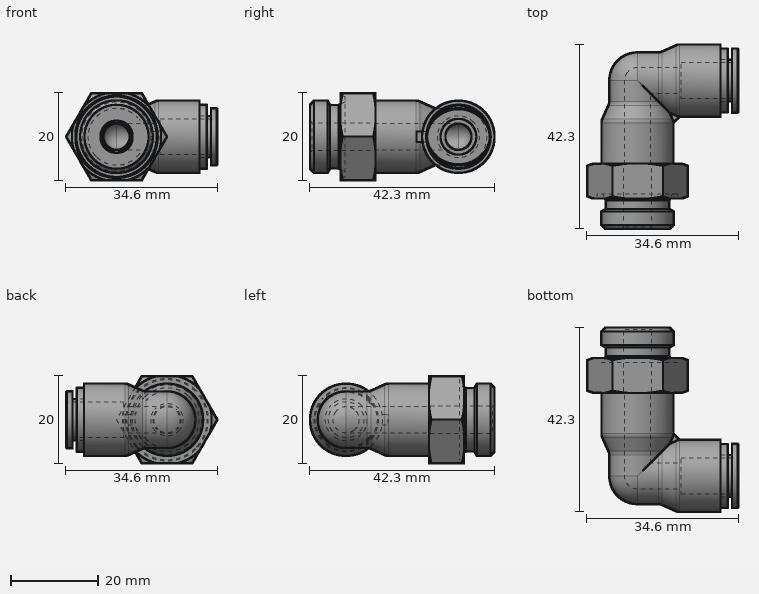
import cadquery as cq
import math


arm_diameter = 16.6
elbow_diameter = 13.0
arm_length = 19.0
taper_start = 5.25
taper_end = 9.22
taper_blend_radius = 2.0
bore_diameter = 6.0
tube_diameter = 8.2
tube_socket_depth = 9.0
web_thickness = 2.5
web_reach = 9.6

stud_length = 34.0
hex_width = 20.0
hex_height = 8.0
hex_chamfer_diameter = 20.5
hex_chamfer_height = 0.5
seal_recess_depth = 1.0
seal_recess_diameter = 18.9
seal_recess_floor_diameter = 18.4
neck_diameter = 14.6
neck_root_diameter = 15.9
neck_flare_length = 1.4
thread_diameter = 16.66
thread_length = 4.0
thread_chamfer = 1.0
thread_runout = 0.65
stud_bore_diameter = 6.4
stud_bore_chamfer = 0.5

collar_diameter = 14.7
collar_length = 1.75
collar_chamfer = 0.2

sleeve_diameter = 9.6
ring_end = 23.1
flange_thickness = 1.5
flange_width = 14.8
flange_height = 13.1
flange_chamfer = 0.25

ORIGIN = (0, 0, 0)
TUBE_AXIS = (1, 0, 0)


def onto_stud_axis(body):
    """Turn a body built along +X so that it points along -Y."""
    return body.rotate(ORIGIN, (0, 0, 1), -90)


def rod(diameter, start, end):
    """Cylinder on the tube axis between two X positions."""
    return cq.Workplane("YZ", origin=(start, 0, 0)).circle(diameter / 2).extrude(end - start)


def revolve_about_x(profile):
    return profile.close().revolve(360, ORIGIN, TUBE_AXIS)


def mitred(arm, size):
    """Return an arm along +X and its twin along -Y, both cut on the diagonal between them."""
    half_space = cq.Workplane("XY").polyline([(0, 0), (size, -size), (size, size), (0, size)]).close()
    half_space = half_space.extrude(size, both=True)
    tube_half = arm.intersect(half_space)
    stud_half = tube_half.mirror("XZ")
    return tube_half, onto_stud_axis(stud_half)


def housing_arm():
    """Solid arm along +X: elbow tube, blended taper and full-size barrel."""
    elbow_radius = elbow_diameter / 2
    arm_radius = arm_diameter / 2
    slope = math.atan2(arm_radius - elbow_radius, taper_end - taper_start)
    tangent = taper_blend_radius * math.tan(slope / 2)
    along = tangent * math.cos(slope)
    across = tangent * math.sin(slope)
    mid_along = taper_blend_radius * math.sin(slope / 2)
    mid_across = taper_blend_radius * (1 - math.cos(slope / 2))
    profile = (
        cq.Workplane("XY")
        .lineTo(0, elbow_radius)
        .lineTo(taper_start - tangent, elbow_radius)
        .threePointArc(
            (taper_start - tangent + mid_along, elbow_radius + mid_across),
            (taper_start + along, elbow_radius + across),
        )
        .lineTo(taper_end - along, arm_radius - across)
        .threePointArc(
            (taper_end + tangent - mid_along, arm_radius - mid_across),
            (taper_end + tangent, arm_radius),
        )
        .lineTo(arm_length, arm_radius)
        .lineTo(arm_length, 0)
    )
    return revolve_about_x(profile)


def corner_web():
    """Thin web that closes the inside corner between the two arms."""
    inner = elbow_diameter / 2
    arm_radius = arm_diameter / 2
    outline = [
        (inner, -inner),
        (web_reach, -inner),
        (web_reach, -arm_radius),
        (arm_radius, -web_reach),
        (inner, -web_reach),
    ]
    return cq.Workplane("XY").polyline(outline).close().extrude(web_thickness / 2, both=True)


def make_housing():
    tube_half, stud_half = mitred(housing_arm(), arm_length)
    corner = cq.Workplane("XY").sphere(elbow_diameter / 2)
    outside = tube_half.union(stud_half).union(corner).union(corner_web())
    tube_bore = rod(bore_diameter, 0, arm_length)
    bore_corner = cq.Workplane("XY").sphere(bore_diameter / 2)
    tube_socket = rod(tube_diameter, arm_length - tube_socket_depth, arm_length)
    return (
        outside.cut(tube_bore)
        .cut(onto_stud_axis(tube_bore))
        .cut(bore_corner)
        .cut(tube_socket)
    )


def hex_chamfer_envelope():
    """Revolved envelope that bevels the hexagon's corners at both ends."""
    corner_radius = hex_width / math.sqrt(3)
    face_radius = hex_chamfer_diameter / 2
    hex_end = arm_length + hex_height
    profile = cq.Workplane("XY").polyline([
        (arm_length, 0),
        (arm_length, face_radius),
        (arm_length + hex_chamfer_height, corner_radius),
        (hex_end - hex_chamfer_height, corner_radius),
        (hex_end, face_radius),
        (hex_end, 0),
    ])
    return revolve_about_x(profile)


def seal_recess():
    """Shallow recess with a sloping wall in the hexagon's lower face."""
    hex_end = arm_length + hex_height
    floor = hex_end - seal_recess_depth
    profile = cq.Workplane("XY").polyline([
        (floor, 0),
        (floor, seal_recess_floor_diameter / 2),
        (hex_end, seal_recess_diameter / 2),
        (hex_end, 0),
    ])
    return revolve_about_x(profile)


def stud_shank():
    """Neck that flares towards the recess floor, then the threaded end."""
    floor = arm_length + hex_height - seal_recess_depth
    neck_radius = neck_diameter / 2
    thread_radius = thread_diameter / 2
    thread_start = stud_length - thread_length
    profile = (
        cq.Workplane("XY")
        .moveTo(floor, 0)
        .lineTo(floor, neck_root_diameter / 2)
        .lineTo(floor + neck_flare_length, neck_radius)
        .lineTo(thread_start - thread_runout, neck_radius)
        .lineTo(thread_start, thread_radius)
        .lineTo(stud_length - thread_chamfer, thread_radius)
        .lineTo(stud_length, thread_radius - thread_chamfer)
        .lineTo(stud_length, 0)
    )
    return revolve_about_x(profile)


def make_stud():
    corner_diameter = 2 * hex_width / math.sqrt(3)
    hexagon = (
        cq.Workplane("YZ", origin=(arm_length, 0, 0))
        .polygon(6, corner_diameter)
        .extrude(hex_height)
        .intersect(hex_chamfer_envelope())
        .cut(seal_recess())
    )
    bore = rod(stud_bore_diameter, arm_length, stud_length)
    stud = hexagon.union(stud_shank()).cut(bore)
    bore_rim = stud.faces(">X").edges(cq.selectors.RadiusNthSelector(0))
    return onto_stud_axis(bore_rim.chamfer(stud_bore_chamfer))


def make_collar():
    collar_end = arm_length + collar_length
    collar = rod(collar_diameter, arm_length, collar_end).faces(">X").chamfer(collar_chamfer)
    return collar.cut(rod(sleeve_diameter, arm_length, collar_end))


def make_release_ring():
    """Sleeve through the collar with an oval flange to press on."""
    sleeve = rod(sleeve_diameter, arm_length, ring_end)
    flange = (
        cq.Workplane("YZ", origin=(ring_end - flange_thickness, 0, 0))
        .ellipse(flange_width / 2, flange_height / 2)
        .extrude(flange_thickness)
        .faces(">X")
        .chamfer(flange_chamfer)
    )
    return sleeve.union(flange).cut(rod(tube_diameter, arm_length, ring_end))


housing = make_housing()
stud = make_stud()
collar = make_collar()
release_ring = make_release_ring()

result = cq.Compound.makeCompound([housing.val(), stud.val(), collar.val(), release_ring.val()])